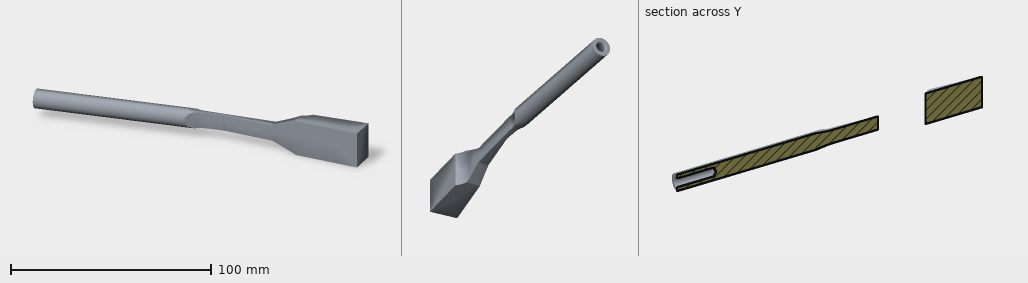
import cadquery as cq

rod_diameter = 10.0
rod_radius = rod_diameter / 2
scoop_start = 79.8
neck_end = 90.3
scoop_middle = 84.0
scoop_half_thickness = 2.6
scoop_half_width = 4.4

hole_diameter = 4.9
hole_mouth_diameter = 6.1
hole_depth = 21.0
drill_tip_length = 1.4
hole_mouth_depth = (hole_mouth_diameter - hole_diameter) / 2

overall_depth = 20.0
neck_top = 1.8
neck_bottom = -1.4
groove_start = 95.8
groove_end = 96.5
groove_depth = 0.2
slope_start = 99.3
heel_start = (135.9, -1.2)
heel_middle = (141.6, -0.4)
heel_end = (145.3, 2.3)
tip_top = (175.1, 0.2)
tip_bottom = (174.2, rod_radius - overall_depth)

stem_half_width = 4.0
paddle_half_width = 9.1
flare_start = 126.8
flare_middle = (132.9, 6.3)
flare_end = 139.9


def handle():
    """Solid rod reaching the end of the neck."""
    return cq.Workplane("YZ").circle(rod_radius).extrude(neck_end)


def drilled_hole():
    """Countersunk blind hole with a conical drill tip."""
    hole_radius = hole_diameter / 2
    half_section = (
        cq.Workplane("XY")
        .lineTo(0, hole_mouth_diameter / 2)
        .lineTo(hole_mouth_depth, hole_radius)
        .lineTo(hole_depth, hole_radius)
        .lineTo(hole_depth + drill_tip_length, 0)
        .close()
    )
    return half_section.revolve(360, (0, 0, 0), (1, 0, 0))


def side_profile():
    """Body seen along Z: rod, scooped neck, tapering stem and paddle."""
    profile = (
        cq.Workplane("XY", origin=(0, 0, -paddle_half_width))
        .moveTo(0, -rod_radius)
        .lineTo(0, rod_radius)
        .lineTo(scoop_start, rod_radius)
        .threePointArc((scoop_middle, scoop_half_thickness), (neck_end, neck_top))
        .lineTo(*heel_start)
        .threePointArc(heel_middle, heel_end)
        .lineTo(*tip_top)
        .lineTo(*tip_bottom)
        .lineTo(slope_start, neck_bottom)
        .lineTo(groove_end, neck_bottom)
        .lineTo(groove_end, neck_bottom + groove_depth)
        .lineTo(groove_start, neck_bottom + groove_depth)
        .lineTo(groove_start, neck_bottom)
        .lineTo(neck_end, neck_bottom)
        .threePointArc((scoop_middle, -scoop_half_thickness), (scoop_start, -rod_radius))
        .close()
    )
    return profile.extrude(2 * paddle_half_width)


def width_outline():
    """Body seen along Y, with the flare from stem to paddle."""
    flare_middle_x, flare_middle_z = flare_middle
    blade_end = tip_top[0]
    outline = (
        cq.Workplane("XZ", origin=(0, -tip_bottom[1], 0))
        .moveTo(0, -rod_radius)
        .lineTo(0, rod_radius)
        .lineTo(scoop_start, rod_radius)
        .threePointArc((scoop_middle, scoop_half_width), (neck_end, stem_half_width))
        .lineTo(flare_start, stem_half_width)
        .threePointArc(flare_middle, (flare_end, paddle_half_width))
        .lineTo(blade_end, paddle_half_width)
        .lineTo(blade_end, -paddle_half_width)
        .lineTo(flare_end, -paddle_half_width)
        .threePointArc((flare_middle_x, -flare_middle_z), (flare_start, -stem_half_width))
        .lineTo(neck_end, -stem_half_width)
        .threePointArc((scoop_middle, -scoop_half_width), (scoop_start, -rod_radius))
        .close()
    )
    return outline.extrude(-2 * tip_bottom[1])


def blade_zone():
    """Box holding everything past the neck."""
    side = 2 * overall_depth
    length = tip_top[0] - neck_end
    return cq.Workplane("XY").box(length, side, side).translate((neck_end + length / 2, 0, 0))


envelope = handle().union(blade_zone())
result = envelope.intersect(side_profile()).intersect(width_outline()).cut(drilled_hole())